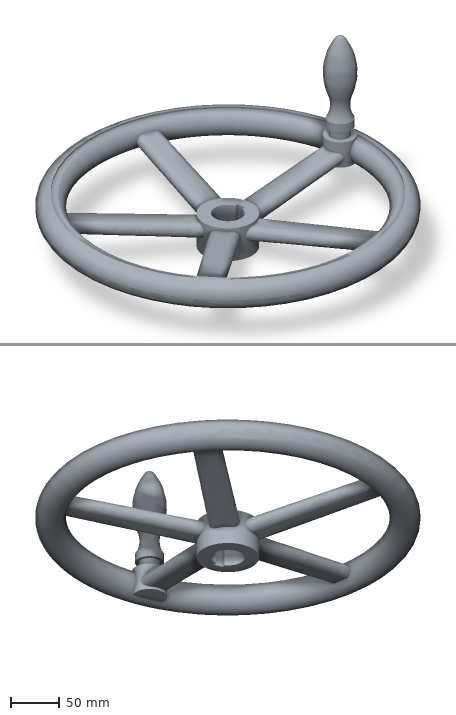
import cadquery as cq
import math


rim_outer_radius = 200.0
rim_tube_radius = 16.0
rim_tube_center_radius = rim_outer_radius - rim_tube_radius
rim_inner_radius = rim_tube_center_radius - rim_tube_radius
rim_step_depth = 2.0
rim_bottom_z = 31.0
rim_mid_z = rim_bottom_z + rim_tube_radius
rim_top_z = rim_mid_z + rim_tube_radius

hub_diameter = 65.0
hub_height = 39.0
bore_diameter = 35.0
keyway_width = 10.0
keyway_depth = 3.3

spoke_count = 5
spoke_flat_width = 16.0
spoke_hub_thickness = 16.5
spoke_rim_thickness = 14.0
spoke_hub_radius = 25.0
spoke_rim_radius = rim_tube_center_radius
spoke_hub_z = 26.0

handle_angle = 90.0
handle_radius = 171.0
boss_diameter = 36.0
boss_height = 30.0

spindle_diameter = 23.0
spindle_length = 10.0
collar_diameter = 30.0
collar_height = 10.0
throat_radius = 10.5
throat_above_collar = 15.5
neck_arc_radius = 32.0
grip_radius = 18.0
grip_arc_radius = 70.0
dome_height = 3.3
tip_z = 180.0


def make_rim():
    step_z = rim_top_z - rim_step_depth
    step_width = math.sqrt(rim_tube_radius**2 - (step_z - rim_mid_z) ** 2)
    rim = cq.Workplane("XZ").moveTo(rim_tube_center_radius - step_width, step_z)
    arc_ends = [
        (rim_inner_radius, rim_mid_z),
        (rim_tube_center_radius, rim_bottom_z),
        (rim_outer_radius, rim_mid_z),
        (rim_tube_center_radius, rim_top_z),
    ]
    for arc_end in arc_ends:
        rim = rim.radiusArc(arc_end, -rim_tube_radius)
    return (
        rim
        .lineTo(rim_tube_center_radius, step_z)
        .close()
        .revolve(360, (0, 0, 0), (0, 1, 0))
    )


def make_hub():
    return cq.Workplane("XY").circle(hub_diameter / 2).extrude(hub_height)


def make_bore():
    bore_radius = bore_diameter / 2
    keyway = (
        cq.Workplane("XY")
        .rect(keyway_width, bore_radius + keyway_depth)
        .extrude(hub_height)
        .translate((0, (bore_radius + keyway_depth) / 2, 0))
    )
    return cq.Workplane("XY").circle(bore_radius).extrude(hub_height).union(keyway)


def make_spoke(angle):
    spoke = (
        cq.Workplane("YZ", origin=(spoke_hub_radius, 0, 0))
        .center(0, spoke_hub_z)
        .slot2D(spoke_flat_width + spoke_hub_thickness, spoke_hub_thickness)
        .workplane(offset=spoke_rim_radius - spoke_hub_radius)
        .center(0, rim_mid_z - spoke_hub_z)
        .slot2D(spoke_flat_width + spoke_rim_thickness, spoke_rim_thickness)
        .loft(ruled=True)
    )
    return spoke.rotate((0, 0, 0), (0, 0, 1), angle)


def on_handle_axis(body):
    angle = math.radians(handle_angle)
    return body.translate((handle_radius * math.cos(angle), handle_radius * math.sin(angle), 0))


def make_boss():
    boss_bottom = cq.Workplane("XY", origin=(0, 0, rim_top_z - boss_height))
    boss = boss_bottom.circle(boss_diameter / 2).extrude(boss_height)
    return on_handle_axis(boss)


def make_handle():
    collar_bottom_z = rim_top_z + spindle_length
    collar_top_z = collar_bottom_z + collar_height
    throat_z = collar_top_z + throat_above_collar

    neck_center_r = throat_radius + neck_arc_radius
    grip_center_r = grip_radius - grip_arc_radius
    radial_gap = neck_center_r - grip_center_r
    center_distance = neck_arc_radius + grip_arc_radius
    grip_center_z = throat_z + math.sqrt(center_distance**2 - radial_gap**2)

    neck_share = neck_arc_radius / center_distance
    joint_r = neck_center_r - radial_gap * neck_share
    joint_z = throat_z + (grip_center_z - throat_z) * neck_share
    neck_foot_r = neck_center_r - math.sqrt(neck_arc_radius**2 - throat_above_collar**2)

    dome_base_z = tip_z - dome_height
    dome_base_r = grip_center_r + math.sqrt(grip_arc_radius**2 - (dome_base_z - grip_center_z) ** 2)
    dome_radius = (dome_base_r**2 + dome_height**2) / (2 * dome_height)
    dome_half_angle = math.asin(dome_base_r / dome_radius) / 2
    dome_middle_r = dome_radius * math.sin(dome_half_angle)
    dome_middle_z = tip_z - dome_radius * (1 - math.cos(dome_half_angle))

    handle = (
        cq.Workplane("XZ")
        .moveTo(0, rim_mid_z)
        .lineTo(spindle_diameter / 2, rim_mid_z)
        .lineTo(spindle_diameter / 2, collar_bottom_z)
        .lineTo(collar_diameter / 2, collar_bottom_z)
        .lineTo(collar_diameter / 2, collar_top_z)
        .lineTo(neck_foot_r, collar_top_z)
        .radiusArc((throat_radius, throat_z), neck_arc_radius)
        .radiusArc((joint_r, joint_z), neck_arc_radius)
        .threePointArc((grip_radius, grip_center_z), (dome_base_r, dome_base_z))
        .threePointArc((dome_middle_r, dome_middle_z), (0, tip_z))
        .close()
        .revolve(360, (0, 0, 0), (0, 1, 0))
    )
    return on_handle_axis(handle)


wheel = make_rim().union(make_hub())
for index in range(spoke_count):
    wheel = wheel.union(make_spoke(handle_angle + index * 360 / spoke_count))
wheel = wheel.union(make_boss()).cut(make_bore())

result = wheel.union(make_handle())